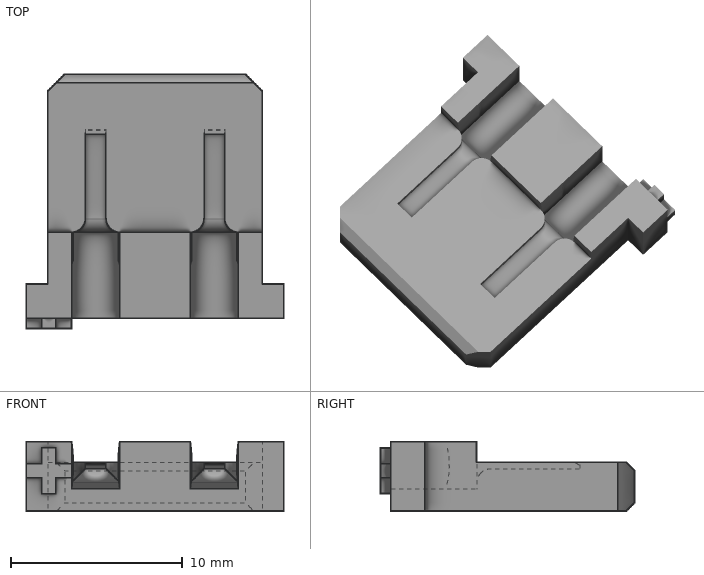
import cadquery as cq
import math


body_width = 12.5
body_back = 14.2
tongue_top = 2.85
corner_chamfer = 1.0
edge_chamfer = 0.5

block_top = 4.05
block_depth = 5.0
flange_span = 15.0
flange_depth = 2.0

channel_offset = 3.45
channel_width = 2.8
channel_floor = 1.3

slot_width = 1.2
slot_end = 10.7
slot_depth = 0.38
flare_radius = 0.8

undercut_slope_length = 0.24
undercut_length = 0.3
undercut_drop = 0.15

bump_height = 0.1
bump_crest_length = 1.6
bump_ramp_radius = 0.8

plus_arm_width = 0.8
plus_height = 0.6
plus_centre_z = 2.35

flare_mid = flare_radius * (1 - math.sqrt(0.5))
channel_half = channel_width / 2


def box(x_range, y_range, z_range):
    """Box spanning the given (low, high) ranges."""
    sizes = [high - low for low, high in (x_range, y_range, z_range)]
    corner = (x_range[0], y_range[0], z_range[0])
    return cq.Workplane("XY").box(*sizes, centered=False).translate(corner)


def extrude_along_x(profile, width):
    """Extrude a (Y, Z) profile symmetrically about X = 0."""
    return profile.extrude(width / 2, both=True)


def make_body():
    """Tongue with chamfered back, front block and flanges."""
    half = body_width / 2
    tongue = (
        box((-half, half), (0, body_back), (0, tongue_top))
        .edges("|Z and >Y")
        .chamfer(corner_chamfer)
    )
    back_bevel = extrude_along_x(
        cq.Workplane("YZ").polyline([
            (0, 0),
            (body_back - edge_chamfer, 0),
            (body_back, edge_chamfer),
            (body_back, tongue_top - edge_chamfer),
            (body_back - edge_chamfer, tongue_top),
            (0, tongue_top),
        ]).close(),
        body_width,
    )
    block = box((-half, half), (0, block_depth), (0, block_top))
    flanges = box((-flange_span / 2, flange_span / 2), (0, flange_depth), (0, block_top))
    return tongue.intersect(back_bevel).union(block).union(flanges)


def make_channel():
    """Cutter for one channel, centred on X = 0."""
    return box((-channel_half, channel_half), (0, block_depth), (channel_floor, block_top))


def make_slot():
    """Cutter for one slot: flared floor profile crossed with a flared outline."""
    floor = tongue_top - slot_depth
    flare_end = block_depth + flare_radius
    inner_end = slot_end + undercut_length
    side_shape = extrude_along_x(
        cq.Workplane("YZ")
        .moveTo(block_depth, tongue_top)
        .lineTo(block_depth, floor - flare_radius)
        .threePointArc((block_depth + flare_mid, floor - flare_mid), (flare_end, floor))
        .lineTo(inner_end, floor)
        .lineTo(inner_end, tongue_top - undercut_drop)
        .lineTo(slot_end + undercut_slope_length, tongue_top - undercut_drop)
        .lineTo(slot_end, tongue_top)
        .close(),
        channel_width,
    )
    half = slot_width / 2
    mouth_half = half + flare_radius
    outline = (
        cq.Workplane("XY")
        .moveTo(-mouth_half, block_depth)
        .threePointArc((-half - flare_mid, block_depth + flare_mid), (-half, flare_end))
        .lineTo(-half, inner_end)
        .lineTo(half, inner_end)
        .lineTo(half, flare_end)
        .threePointArc((half + flare_mid, block_depth + flare_mid), (mouth_half, block_depth))
        .close()
        .extrude(tongue_top)
    )
    return side_shape.intersect(outline)


def make_bump():
    """Bump on the left wall of a channel centred on X = 0."""
    wall = -channel_half
    crest = wall + bump_height
    middle_z = (channel_floor + block_top) / 2
    bulge = (
        cq.Workplane("XZ", origin=(0, block_depth, 0))
        .moveTo(wall, channel_floor)
        .threePointArc((crest, middle_z), (wall, block_top))
        .close()
        .extrude(block_depth)
    )
    ramp_angle = math.acos(1 - bump_height / bump_ramp_radius)
    crest_front = block_depth - bump_crest_length
    ramp_front = crest_front - bump_ramp_radius * math.sin(ramp_angle)
    ramp_middle = (
        wall + bump_ramp_radius * (1 - math.cos(ramp_angle / 2)),
        ramp_front + bump_ramp_radius * math.sin(ramp_angle / 2),
    )
    outline = (
        cq.Workplane("XY")
        .moveTo(wall, ramp_front)
        .threePointArc(ramp_middle, (crest, crest_front))
        .lineTo(crest, block_depth)
        .lineTo(wall, block_depth)
        .close()
        .extrude(block_top)
    )
    return bulge.intersect(outline)


def make_plus():
    """Plus sign whose arms span the front face left of the first channel."""
    left = -flange_span / 2
    right = -channel_offset - channel_half
    span = right - left
    centre = ((left + right) / 2, -plus_height / 2, plus_centre_z)
    level_arm = cq.Workplane("XY").box(span, plus_height, plus_arm_width)
    upright_arm = cq.Workplane("XY").box(plus_arm_width, plus_height, span)
    return level_arm.union(upright_arm).translate(centre)


result = make_body().union(make_plus())
left_bump = make_bump()
right_bump = left_bump.mirror("YZ")
for channel_x in (-channel_offset, channel_offset):
    position = (channel_x, 0, 0)
    result = result.cut(make_channel().translate(position))
    result = result.cut(make_slot().translate(position))
    for bump in (left_bump, right_bump):
        result = result.union(bump.translate(position))